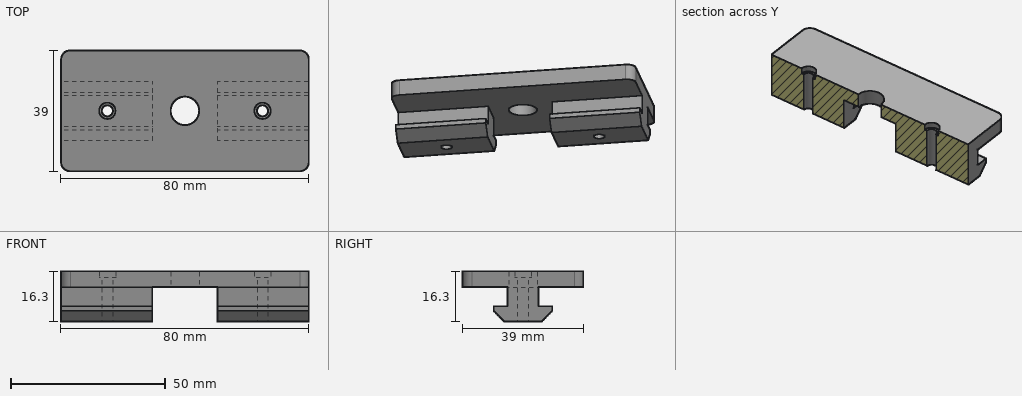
import cadquery as cq

plate_length = 80.0
plate_width = 39.0
plate_thickness = 5.2
corner_radius = 3.0

total_height = 16.3
rail_gap = 21.0
stem_width = 10.1
stem_height = 6.1
head_width = 19.0
head_side_height = 1.5
foot_width = 12.1

center_hole_diameter = 9.1
screw_spacing = 50.1
screw_hole_diameter = 3.5
counterbore_diameter = 5.3
counterbore_depth = 2.0

rail_height = total_height - plate_thickness
rail_length = (plate_length - rail_gap) / 2


def make_plate():
    """Rounded plate with its underside at Z = 0."""
    plate = cq.Workplane("XY").box(
        plate_length, plate_width, plate_thickness, centered=(True, True, False)
    )
    return plate.edges("|Z").fillet(corner_radius)


def make_rail(start_x):
    """One rail segment hanging below the plate, running +X from start_x."""
    head_top = -stem_height
    taper_top = head_top - head_side_height
    half_profile = [
        (stem_width / 2, 0),
        (stem_width / 2, head_top),
        (head_width / 2, head_top),
        (head_width / 2, taper_top),
        (foot_width / 2, -rail_height),
    ]
    mirrored_half = [(-y, z) for y, z in reversed(half_profile)]
    return (
        cq.Workplane("YZ", origin=(start_x, 0, 0))
        .polyline(half_profile + mirrored_half)
        .close()
        .extrude(rail_length)
    )


body = make_plate()
for start_x in (-plate_length / 2, rail_gap / 2):
    body = body.union(make_rail(start_x))

top_face = cq.Workplane("XY", origin=(0, 0, plate_thickness))
center_hole = top_face.circle(center_hole_diameter / 2).extrude(-plate_thickness)
screw_points = [(-screw_spacing / 2, 0), (screw_spacing / 2, 0)]
screw_holes = top_face.pushPoints(screw_points).circle(screw_hole_diameter / 2).extrude(-total_height)
counterbores = (
    top_face.pushPoints(screw_points).circle(counterbore_diameter / 2).extrude(-counterbore_depth)
)

result = body.cut(center_hole).cut(screw_holes).cut(counterbores)